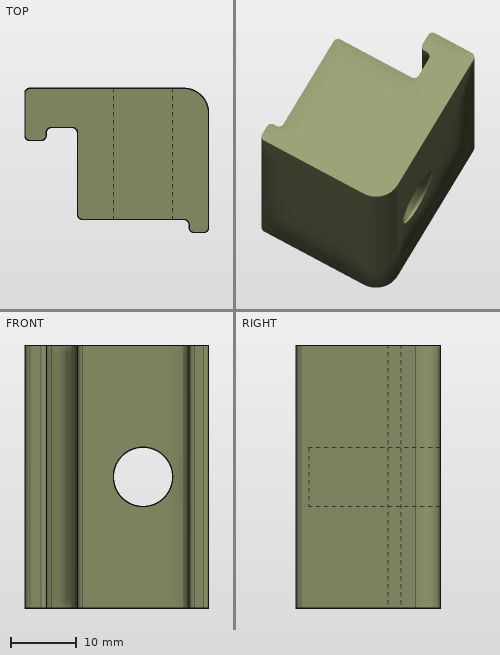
import cadquery as cq

width = 28.0
depth = 22.0
height = 40.0

lip_width = 3.3
lip_depth = 8.0
web_depth = 6.0
block_width = 20.0
toe_width = 3.0
toe_length = 2.0

edge_radius = 0.8
back_corner_radius = 3.8

hole_diameter = 9.0

left = -width / 2
right = width / 2
front = -depth / 2
back = depth / 2
block_left = right - block_width
block_front = front + toe_length
block_center_x = (block_left + right) / 2


def make_body():
    """Extrude the hooked profile and round its upright edges."""
    profile = [
        (left, back),
        (left, back - lip_depth),
        (left + lip_width, back - lip_depth),
        (left + lip_width, back - web_depth),
        (block_left, back - web_depth),
        (block_left, block_front),
        (right - toe_width, block_front),
        (right - toe_width, front),
        (right, front),
        (right, back),
    ]
    body = cq.Workplane("XY").polyline(profile).close().extrude(height / 2, both=True)
    back_corner = cq.selectors.NearestToPointSelector((right, back, 0))
    body = body.edges(back_corner).fillet(back_corner_radius)

    for x, y in profile[:-1]:
        corner = cq.selectors.NearestToPointSelector((x, y, 0))
        body = body.edges("|Z").edges(corner).fillet(edge_radius)
    return body


def make_bolt_hole():
    """Through hole along Y, centred on the block's width and height."""
    return (
        cq.Workplane("XZ", origin=(block_center_x, back, 0))
        .circle(hole_diameter / 2)
        .extrude(depth)
    )


result = make_body().cut(make_bolt_hole())